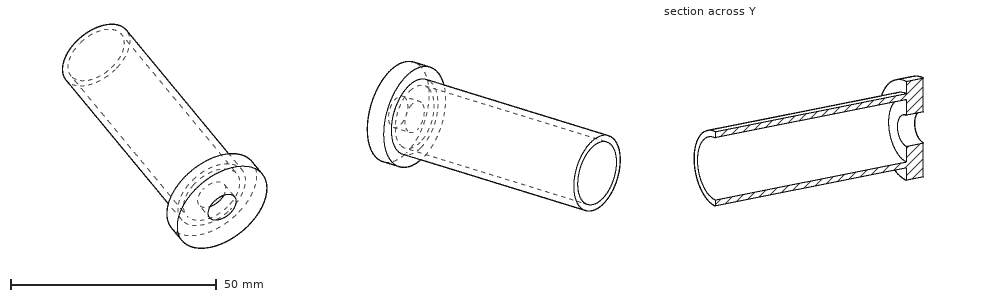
import cadquery as cq

total_length = 60.0
flange_diameter = 25.4
flange_thickness = 5.0
sleeve_diameter = 19.1
bore_diameter = 15.9
end_hole_diameter = 7.9

sleeve_length = total_length - flange_thickness
bore_depth = sleeve_length


def cylinder_along_x(diameter, start, length):
    """Solid cylinder on the X axis, running from start towards +X."""
    return cq.Workplane("YZ", origin=(start, 0, 0)).circle(diameter / 2).extrude(length)


sleeve = cylinder_along_x(sleeve_diameter, 0, total_length)
flange = cylinder_along_x(flange_diameter, sleeve_length, flange_thickness)
bore = cylinder_along_x(bore_diameter, 0, bore_depth)
end_hole = cylinder_along_x(end_hole_diameter, 0, total_length)

result = sleeve.union(flange).cut(bore).cut(end_hole)